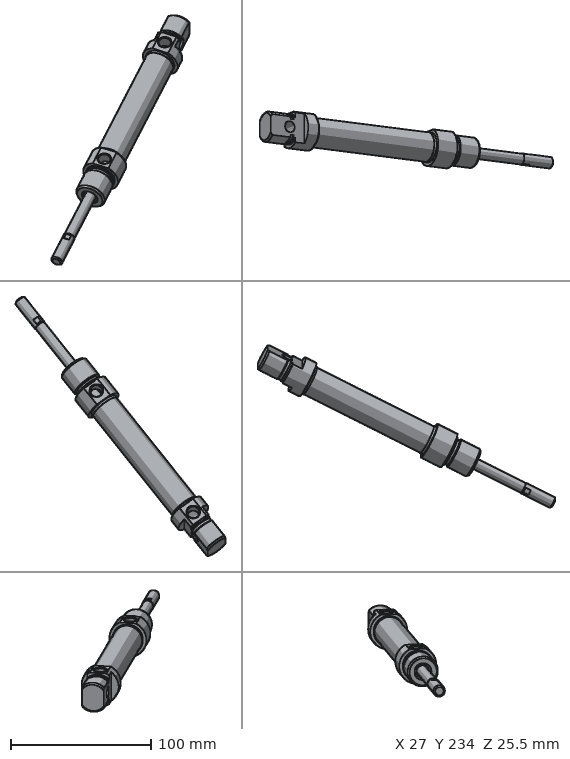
import cadquery as cq
import math

LENGTH = 234.0

COLLAR_DIAMETER = 27.0
COLLAR_HEIGHT = 25.5
FLAT_HEIGHT = COLLAR_HEIGHT - COLLAR_DIAMETER / 2
THREAD_DIAMETER = 22.0
THREAD_END_DIAMETER = 19.7
NECK_DIAMETER = 19.7
END_CHAMFER = 1.5
NECK_CHAMFER = 0.7
NECK_WIDTH = 2.0
SHOULDER_LENGTH = 1.5
SPIGOT_DIAMETER = 22.0
SPIGOT_LENGTH = 1.9
PORT_DIAMETER = 8.7
PORT_MOUTH_DIAMETER = 9.8
PORT_DEPTH = 9.4
PORT_TIP_ANGLE = 118.0

REAR_THREAD_LENGTH = 16.5
REAR_COLLAR_LENGTH = 16.1
TANG_WIDTH = 16.0
TANG_LENGTH = 27.5
PIVOT_DIAMETER = 8.0
PIVOT_FROM_END = 15.7
REAR_PORT_FROM_END = 27.8

FRONT_THREAD_LENGTH = 17.0
FRONT_COLLAR_LENGTH = 15.7
FRONT_FACE = 63.6
FRONT_PORT_FROM_COLLAR = 7.0
ROD_RECESS_DIAMETER = 12.2
ROD_RECESS_DEPTH = 1.2
ROD_CLEARANCE_DIAMETER = 9.1
ROD_CLEARANCE_DEPTH = 3.5

BARREL_DIAMETER = 21.3

ROD_DIAMETER = 8.0
ROD_THREAD_DIAMETER = 8.5
ROD_THREAD_LENGTH = 24.3
ROD_TIP_DIAMETER = 6.0
ROD_TIP_CHAMFER = 1.0
ROD_FLAT_LENGTH = 4.2
ROD_FLAT_START = 19.2
ROD_FLAT_SPACING = 7.5

front_collar_start = FRONT_FACE + FRONT_THREAD_LENGTH + NECK_WIDTH + SHOULDER_LENGTH
front_cap_end = front_collar_start + FRONT_COLLAR_LENGTH + SPIGOT_LENGTH
rear_cap_length = (REAR_THREAD_LENGTH + NECK_WIDTH + SHOULDER_LENGTH
                   + REAR_COLLAR_LENGTH + SPIGOT_LENGTH)
rear_cap_start = LENGTH - rear_cap_length


def turned(profile):
    """Revolve (radius, y) points, closed along the axis, about Y."""
    first_y = profile[0][1]
    last_y = profile[-1][1]
    outline = [(0, first_y)] + profile + [(0, last_y)]
    return cq.Workplane("XY").polyline(outline).close().revolve(360, (0, 0), (0, 1))


def cylinder(diameter, start, length):
    """Round bar along Y."""
    return turned([(diameter / 2, start), (diameter / 2, start + length)])


def box(width, length, height, center):
    return cq.Workplane("XY").box(width, length, height).translate(center)


def cap_blank(end, inward, thread_length, collar_length):
    """Turned cap from its outer end; inward is the Y direction towards the barrel."""
    thread_radius = THREAD_DIAMETER / 2
    neck_radius = NECK_DIAMETER / 2
    collar_radius = COLLAR_DIAMETER / 2
    spigot_radius = SPIGOT_DIAMETER / 2
    neck_end = thread_length + NECK_WIDTH
    collar_start = neck_end + SHOULDER_LENGTH
    collar_end = collar_start + collar_length
    profile = [
        (THREAD_END_DIAMETER / 2, 0),
        (thread_radius, END_CHAMFER),
        (thread_radius, thread_length - NECK_CHAMFER),
        (neck_radius, thread_length),
        (neck_radius, neck_end),
        (thread_radius, neck_end),
        (thread_radius, collar_start),
        (collar_radius, collar_start),
        (collar_radius, collar_end),
        (spigot_radius, collar_end),
        (spigot_radius, collar_end + SPIGOT_LENGTH),
    ]
    return turned([(radius, end + inward * distance) for radius, distance in profile])


def cut_port(cap, port_y):
    """Level the top of the collar and drill a conical-bottomed port into it."""
    above_flat = COLLAR_DIAMETER
    cap = cap.cut(box(COLLAR_DIAMETER, LENGTH, above_flat, (0, port_y, FLAT_HEIGHT + above_flat / 2)))
    radius = PORT_DIAMETER / 2
    mouth_radius = PORT_MOUTH_DIAMETER / 2
    chamfer = mouth_radius - radius
    floor = FLAT_HEIGHT - PORT_DEPTH
    tip = floor - radius / math.tan(math.radians(PORT_TIP_ANGLE / 2))
    drill = (cq.Workplane("XZ")
             .polyline([(0, tip), (radius, floor), (radius, FLAT_HEIGHT - chamfer),
                        (mouth_radius, FLAT_HEIGHT), (0, FLAT_HEIGHT)])
             .close()
             .revolve(360, (0, 0), (0, 1))
             .translate((0, port_y, 0)))
    return cap.cut(drill)


def make_rear_cap():
    cap = cap_blank(LENGTH, -1, REAR_THREAD_LENGTH, REAR_COLLAR_LENGTH)
    cap = cut_port(cap, LENGTH - REAR_PORT_FROM_END)
    for side in (-1, 1):
        center_x = side * (TANG_WIDTH + COLLAR_DIAMETER) / 2
        cap = cap.cut(box(COLLAR_DIAMETER, TANG_LENGTH, 2 * COLLAR_DIAMETER,
                          (center_x, LENGTH - TANG_LENGTH / 2, 0)))
    pivot = (cq.Workplane("YZ").center(LENGTH - PIVOT_FROM_END, 0)
             .circle(PIVOT_DIAMETER / 2).extrude(TANG_WIDTH, both=True))
    return cap.cut(pivot)


def make_front_cap():
    """Front cap bored for the rod, with a port opening onto the rod."""
    cap = cap_blank(FRONT_FACE, 1, FRONT_THREAD_LENGTH, FRONT_COLLAR_LENGTH)
    cap = cut_port(cap, front_collar_start + FRONT_PORT_FROM_COLLAR)
    cap = cap.cut(cylinder(ROD_DIAMETER, FRONT_FACE, front_cap_end - FRONT_FACE))
    recess_radius = ROD_RECESS_DIAMETER / 2
    clearance_radius = ROD_CLEARANCE_DIAMETER / 2
    recess_floor = FRONT_FACE + ROD_RECESS_DEPTH
    recess = turned([
        (recess_radius, FRONT_FACE),
        (recess_radius, recess_floor),
        (clearance_radius, recess_floor),
        (clearance_radius, FRONT_FACE + ROD_CLEARANCE_DEPTH),
    ])
    return cap.cut(recess)


def make_barrel():
    return cylinder(BARREL_DIAMETER, front_cap_end, rear_cap_start - front_cap_end)


def make_rod():
    """Rod running through the front cap to the end of the barrel."""
    thread_radius = ROD_THREAD_DIAMETER / 2
    rod_radius = ROD_DIAMETER / 2
    rod = turned([
        (ROD_TIP_DIAMETER / 2, 0),
        (thread_radius, ROD_TIP_CHAMFER),
        (thread_radius, ROD_THREAD_LENGTH),
        (rod_radius, ROD_THREAD_LENGTH),
        (rod_radius, front_cap_end),
    ])
    for side in (-1, 1):
        center_z = side * (ROD_FLAT_SPACING + ROD_THREAD_DIAMETER) / 2
        rod = rod.cut(box(ROD_THREAD_DIAMETER, ROD_FLAT_LENGTH, ROD_THREAD_DIAMETER,
                          (0, ROD_FLAT_START + ROD_FLAT_LENGTH / 2, center_z)))
    return rod


rear_cap = make_rear_cap()
barrel = make_barrel()
front_cap = make_front_cap()
rod = make_rod()

result = cq.Compound.makeCompound([rear_cap.val(), barrel.val(), front_cap.val(), rod.val()])